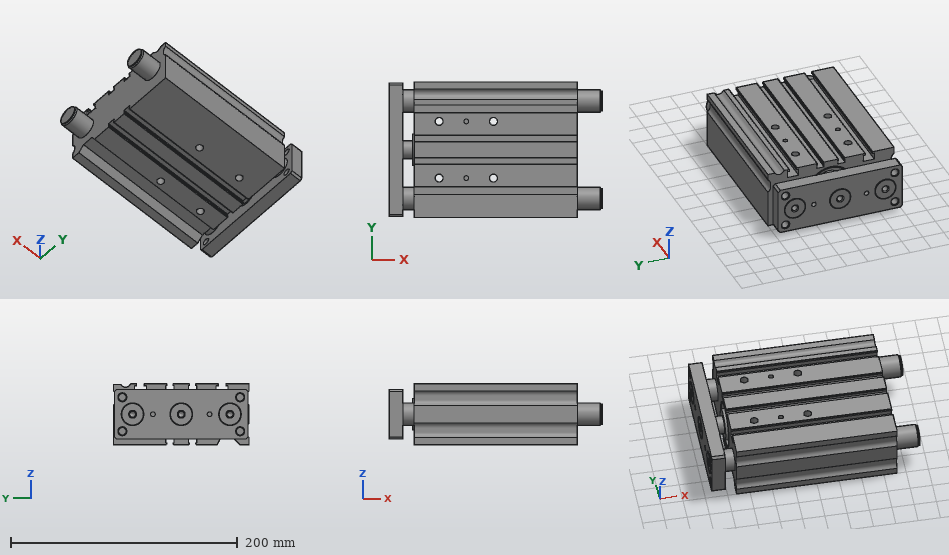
import cadquery as cq
import math


plate_thickness = 12.0
plate_gap = 10.0
housing_length = 144.0
total_length = 188.0
housing_front = plate_thickness + plate_gap

housing_width = 120.0
housing_height = 54.0
half_width = housing_width / 2
top = housing_height / 2
bottom = -top
cutter_overrun = 1.0
through_cut = housing_length + 2 * cutter_overrun

plate_width = 118.0
plate_height = 44.0
plate_chamfer = 2.0
tapped_hole_diameter = 6.6
tapped_hole_mouth = 8.0
tapped_hole_mouth_angle = 90.0
tapped_hole_y = 52.0
tapped_hole_z = 15.0
plate_pin_diameter = 4.2
pin_y = 25.0

rod_y = 43.0
guide_diameter = 20.0
rod_front_chamfer = 0.5
guide_rear_chamfer_length = 1.0
guide_rear_chamfer_depth = 1.0
guide_nose_length = 1.0
piston_diameter = 16.0
piston_head_diameter = 20.0
piston_depth_in_housing = 20.0
piston_end = housing_front + piston_depth_in_housing
socket_diameter = 5.2
socket_mouth = 7.0
socket_depth = 12.0
drill_tip_angle = 118.0

collar_diameter = 28.0
collar_projection = 1.5
collar_seat_depth = 8.0
collar_front = housing_front - collar_projection
collar_length = collar_projection + collar_seat_depth

rim_diameter = 40.8
rim_depth = 0.5
recess_diameter = 38.4
recess_depth = 4.5

t_slot_y = 36.0
t_slot_opening = 6.6
t_slot_width = 10.4
t_slot_lip = 1.9
t_slot_depth = 8.0

sensor_slot_y = 10.0
sensor_slot_opening = 5.4
sensor_slot_width = 7.0
sensor_slot_lip = 1.7
sensor_slot_depth = 5.0
slot_edge_chamfer = 0.4
bottom_slot_edge_chamfer = 0.9

side_groove_z = 14.3
side_groove_half_width = 6.4
side_groove_facet = 1.2
side_groove_radius = 4.6

top_groove_y = 49.2
top_groove_half_width = 4.9
top_groove_facet = 1.9
top_groove_radius = 4.0
lowered_strip_drop = 0.6

taper_groove_inner_y = -31.7
taper_groove_outer_y = -51.8
taper_groove_depth = 6.0
taper_groove_inner_angle = 28.0
taper_groove_outer_angle = 45.0

mounting_hole_diameter = 6.8
mounting_hole_x = (44.0, 92.0)
top_pin_x = 68.0
top_pin_diameter = 4.2
top_pin_depth = 6.0


def x_cylinder(start, length, diameter, y=0.0):
    """Cylinder along +X."""
    return cq.Workplane("YZ", origin=(start, y, 0)).circle(diameter / 2).extrude(length)


def revolve_about_x(profile):
    """Turn a closed profile of (x, radius) points about the X axis."""
    return cq.Workplane("XY").polyline(profile).close().revolve(360, (0, 0, 0), (1, 0, 0))


def housing_cutter(outline):
    """Extend a closed YZ wire over the whole housing length."""
    return outline.extrude(through_cut)


def cutter_plane(y=0.0, z=0.0):
    """YZ sketch plane just ahead of the housing, with its origin at (y, z)."""
    return cq.Workplane("YZ", origin=(housing_front - cutter_overrun, y, z))


def undercut_slot(y, opening, width, lip, depth, edge, upward=True):
    """Slot with an undercut and chamfered mouth, open through the top or the bottom face."""
    side = 1 if upward else -1
    right = [
        (opening / 2 + edge, 0),
        (opening / 2, -edge),
        (opening / 2, -lip),
        (width / 2, -lip),
        (width / 2, -depth),
    ]
    left = [(-across, height) for across, height in reversed(right)]
    points = [(across, side * height) for across, height in right + left]
    return housing_cutter(cutter_plane(y, side * top).polyline(points).close())


def rounded_groove(half_width_at_mouth, facet, radius):
    """Groove along +X open toward +Z: 45 degree facets, fillets and a flat floor."""
    arc_run = radius * math.sin(math.pi / 4)
    arc_drop = radius * (1 - math.cos(math.pi / 4))
    mid_run = radius * math.sin(math.pi / 8)
    mid_rise = radius * (1 - math.cos(math.pi / 8))
    facet_end = half_width_at_mouth - facet
    flat = facet_end - arc_run
    floor = -facet - arc_drop
    return housing_cutter(
        cutter_plane()
        .moveTo(half_width_at_mouth, 0)
        .lineTo(facet_end, -facet)
        .threePointArc((flat + mid_run, floor + mid_rise), (flat, floor))
        .lineTo(-flat, floor)
        .threePointArc((-flat - mid_run, floor + mid_rise), (-facet_end, -facet))
        .lineTo(-half_width_at_mouth, 0)
        .close()
    )


def side_groove(side, z):
    """Rounded groove in the +Y (side = 1) or -Y (side = -1) face."""
    groove = rounded_groove(side_groove_half_width, side_groove_facet, side_groove_radius)
    return groove.rotate((0, 0, 0), (1, 0, 0), -90 * side).translate((0, side * half_width, z))


def taper_groove():
    """Bottom groove narrowing inward, with unequal flank angles."""
    inner_run = taper_groove_depth * math.tan(math.radians(taper_groove_inner_angle))
    outer_run = taper_groove_depth * math.tan(math.radians(taper_groove_outer_angle))
    points = [
        (taper_groove_inner_y, bottom),
        (taper_groove_inner_y - inner_run, bottom + taper_groove_depth),
        (taper_groove_outer_y + outer_run, bottom + taper_groove_depth),
        (taper_groove_outer_y, bottom),
    ]
    return housing_cutter(cutter_plane().polyline(points).close())


def lowered_strip():
    """Shallow step along the top edge outside the rounded top groove."""
    strip_width = half_width - top_groove_y
    return housing_cutter(
        cutter_plane(top_groove_y, top - lowered_strip_drop)
        .rect(strip_width, lowered_strip_drop, centered=False)
    )


def make_housing():
    body = cq.Workplane("XY").box(housing_length, housing_width, housing_height, centered=(False, True, True))
    body = body.translate((housing_front, 0, 0))

    for side in (1, -1):
        body = body.cut(
            undercut_slot(side * t_slot_y, t_slot_opening, t_slot_width,
                          t_slot_lip, t_slot_depth, slot_edge_chamfer)
        )
        for upward, edge in ((True, slot_edge_chamfer), (False, bottom_slot_edge_chamfer)):
            body = body.cut(
                undercut_slot(side * sensor_slot_y, sensor_slot_opening, sensor_slot_width,
                              sensor_slot_lip, sensor_slot_depth, edge, upward)
            )
    for side, z in ((1, side_groove_z), (-1, side_groove_z), (-1, -side_groove_z)):
        body = body.cut(side_groove(side, z))
    top_groove = rounded_groove(top_groove_half_width, top_groove_facet, top_groove_radius)
    body = body.cut(top_groove.translate((0, top_groove_y, top)))
    body = body.cut(lowered_strip())
    body = body.cut(taper_groove())

    top_face = cq.Workplane("XY", origin=(0, 0, top))
    mounting_points = [(x, side * pin_y) for x in mounting_hole_x for side in (1, -1)]
    body = body.cut(
        top_face.pushPoints(mounting_points).circle(mounting_hole_diameter / 2).extrude(-housing_height)
    )
    pin_points = [(top_pin_x, side * pin_y) for side in (1, -1)]
    body = body.cut(top_face.pushPoints(pin_points).circle(top_pin_diameter / 2).extrude(-top_pin_depth))

    body = body.cut(x_cylinder(housing_front, rim_depth, rim_diameter))
    body = body.cut(x_cylinder(housing_front, recess_depth, recess_diameter))

    for side in (1, -1):
        body = body.cut(x_cylinder(housing_front, housing_length, guide_diameter, side * rod_y))
    body = body.cut(x_cylinder(housing_front, collar_seat_depth, collar_diameter))
    return body.cut(x_cylinder(housing_front, piston_depth_in_housing, piston_diameter))


def make_plate():
    plate = cq.Workplane("YZ").rect(plate_width, plate_height).extrude(plate_thickness)
    plate = plate.edges("|X").chamfer(plate_chamfer)
    corners = [(sy * tapped_hole_y, sz * tapped_hole_z) for sy in (1, -1) for sz in (1, -1)]
    plate = plate.faces("<X").workplane(origin=(0, 0, 0)).pushPoints(corners)
    plate = plate.cskHole(tapped_hole_diameter, tapped_hole_mouth, tapped_hole_mouth_angle)
    for side in (1, -1):
        plate = plate.cut(x_cylinder(0, plate_thickness, plate_pin_diameter, side * pin_y))
        plate = plate.cut(x_cylinder(0, plate_thickness, guide_diameter, side * rod_y))
    return plate.cut(x_cylinder(0, plate_thickness, piston_head_diameter))


def socket():
    """Blind centre hole from X = 0 with a 45 degree mouth and a drill-point bottom."""
    radius = socket_diameter / 2
    mouth_radius = socket_mouth / 2
    tip_length = radius / math.tan(math.radians(drill_tip_angle / 2))
    profile = [
        (0, 0),
        (0, mouth_radius),
        (mouth_radius - radius, radius),
        (socket_depth, radius),
        (socket_depth + tip_length, 0),
    ]
    return revolve_about_x(profile)


def make_guide_rod(side):
    radius = guide_diameter / 2
    nose_radius = radius - guide_rear_chamfer_depth
    nose_start = total_length - guide_nose_length
    profile = [
        (0, 0),
        (0, radius - rod_front_chamfer),
        (rod_front_chamfer, radius),
        (nose_start - guide_rear_chamfer_length, radius),
        (nose_start, nose_radius),
        (total_length, nose_radius),
        (total_length, 0),
    ]
    return revolve_about_x(profile).cut(socket()).translate((0, side * rod_y, 0))


def make_piston_rod():
    head = x_cylinder(0, plate_thickness, piston_head_diameter)
    head = head.faces("<X").chamfer(rod_front_chamfer)
    shank = x_cylinder(plate_thickness, piston_end - plate_thickness, piston_diameter)
    return head.union(shank).cut(socket())


def make_collar():
    ring = x_cylinder(collar_front, collar_length, collar_diameter)
    return ring.cut(x_cylinder(collar_front, collar_length, piston_diameter))


housing = make_housing()
plate = make_plate()
guide_rods = [make_guide_rod(side) for side in (1, -1)]
piston_rod = make_piston_rod()
collar = make_collar()

result = cq.Compound.makeCompound(
    [
        housing.val(),
        plate.val(),
        *[rod.val() for rod in guide_rods],
        piston_rod.val(),
        collar.val(),
    ]
)